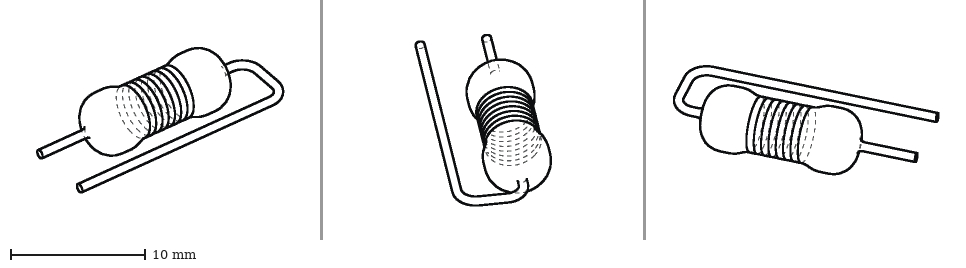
import cadquery as cq
import math


lead_radius = 0.7 / 2
lead_spacing = 5.01
bend_radius = 1.41
overall_length = 19.35
lead_tip_y = -10.58
bridge_y = lead_tip_y + overall_length - lead_radius
bend_start_y = bridge_y - bend_radius

cap_radius = 5.0 / 2
barrel_radius = 4.25 / 2
band_radius = 4.28 / 2
band_count = 7
barrel_half = 2.01
band_width = 2 * barrel_half / band_count
body_half = 6.0
cap_outer = 4.25
cap_inner = 3.48
inflection = 2.7
root_fillet = 0.48
flare_radius = lead_radius + root_fillet
diagonal = math.sqrt(0.5)

neck_fraction = (inflection - barrel_half) / (cap_inner - barrel_half)
inflection_radius = barrel_radius + (cap_radius - barrel_radius) * neck_fraction


def make_cap_end():
    """Revolve the end of the body beyond the banded barrel, on the +Y side."""
    dome_radius = cap_radius - flare_radius
    dome_height = body_half - cap_outer
    dome_mid = (
        flare_radius + dome_radius * diagonal,
        cap_outer + dome_height * diagonal,
    )
    flare_mid = (
        flare_radius - root_fillet * diagonal,
        body_half + root_fillet * (1 - diagonal),
    )
    neck_length = inflection - barrel_half
    neck_rise = inflection_radius - barrel_radius
    neck_radius = (neck_length**2 + neck_rise**2) / (2 * neck_rise)
    half_angle = math.asin(neck_length / neck_radius) / 2
    neck_mid = (
        barrel_radius + neck_radius * (1 - math.cos(half_angle)),
        barrel_half + neck_radius * math.sin(half_angle),
    )
    profile = (
        cq.Workplane("XY")
        .moveTo(0, barrel_half)
        .lineTo(barrel_radius, barrel_half)
        .threePointArc(neck_mid, (inflection_radius, inflection))
        .tangentArcPoint((cap_radius, cap_inner), relative=False)
        .lineTo(cap_radius, cap_outer)
        .threePointArc(dome_mid, (flare_radius, body_half))
        .threePointArc(flare_mid, (lead_radius, body_half + root_fillet))
        .lineTo(0, body_half + root_fillet)
        .close()
    )
    return profile.revolve(360, (0, 0, 0), (0, 1, 0))


def make_band(index):
    """Make one band of the barrel, counted from -Y; the end bands and alternate ones are raised."""
    start_y = -barrel_half + index * band_width
    radius = band_radius if index % 2 == 0 else barrel_radius
    return (
        cq.Workplane("XZ", origin=(0, start_y, 0))
        .circle(radius)
        .extrude(-band_width)
    )


def make_straight_lead():
    """Run a straight lead from the -Y tip to the mid-plane, inside the body."""
    return (
        cq.Workplane("XZ", origin=(0, lead_tip_y, 0))
        .circle(lead_radius)
        .extrude(lead_tip_y)
    )


def make_folded_lead():
    """Sweep the lead out of the +Y end, across in X and back down beside the body."""
    bend_offset = bend_radius * (1 - diagonal)
    path = (
        cq.Workplane("XY")
        .moveTo(0, 0)
        .lineTo(0, bend_start_y)
        .threePointArc((bend_offset, bridge_y - bend_offset), (bend_radius, bridge_y))
        .lineTo(lead_spacing - bend_radius, bridge_y)
        .threePointArc(
            (lead_spacing - bend_offset, bridge_y - bend_offset),
            (lead_spacing, bend_start_y),
        )
        .lineTo(lead_spacing, lead_tip_y)
    )
    return cq.Workplane("XZ").circle(lead_radius).sweep(path)


cap_end = make_cap_end()
result = make_straight_lead().union(make_folded_lead())
for band_index in range(band_count):
    result = result.union(make_band(band_index))
result = result.union(cap_end).union(cap_end.mirror("XZ"))